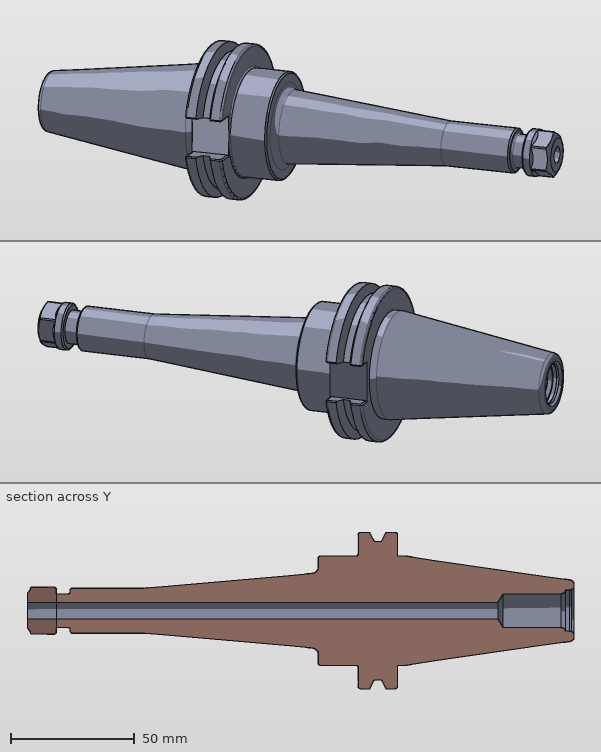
import cadquery as cq
import math

total_length = 220.7
bore_diameter = 6.6

taper_end_x = 68.2
taper_small_diameter = 24.5
gauge_diameter = 44.4
small_end_fillet = 2.0

socket_mouth_diameter = 18.5
socket_relief_diameter = 16.8
socket_relief_start = 1.0
socket_relief_end = 2.0
socket_recess_diameter = 16.3
socket_recess_end = 3.5
thread_mouth_diameter = 14.8
thread_start = 5.3
socket_diameter = 13.5
socket_depth = 28.7
drill_point_angle = 118.0

flange_start_x = 71.3
flange_end_x = 87.2
flange_diameter = 63.3
flange_fillet = 0.9
groove_centre_x = 79.2
groove_mouth_width = 6.5
groove_root_diameter = 56.3
groove_root_width = 2.9

slot_width = 15.9
slot_edge_chamfer = 0.55
front_slot_floor = 22.5
rear_slot_floor = 25.0

body_end_x = 103.3
body_chamfer = 0.7
flange_root_fillet = 0.7
extension_root_fillet = 2.6
extension_start_diameter = 30.2
shank_start_x = 173.9
shank_diameter = 18.3
shank_end_x = 203.5
shank_chamfer = 0.7
neck_diameter = 13.7
neck_root_fillet = 0.7

nut_start_x = 209.0
collar_diameter = 19.2
collar_chamfer = 0.7
collar_end_x = 212.5
hex_across_flats = 16.8
hex_start_x = 213.5
hex_corner_diameter = 19.0
hex_cone_length = 1.5
nut_face_diameter = 14.0


def revolve_about_x(profile):
    return profile.close().revolve(360, (0, 0, 0), (1, 0, 0))


def x_cylinder(diameter, start_x, end_x):
    circle = cq.Workplane("YZ").workplane(offset=start_x).circle(diameter / 2)
    return circle.extrude(end_x - start_x)


def make_holder_blank():
    """Outer shape of the taper, flange, body, extension and neck."""
    flange_radius = flange_diameter / 2
    gauge_radius = gauge_diameter / 2
    extension_radius = extension_start_diameter / 2
    shank_radius = shank_diameter / 2
    neck_radius = neck_diameter / 2
    profile = (
        cq.Workplane("XY")
        .moveTo(0, 0)
        .lineTo(0, taper_small_diameter / 2)
        .lineTo(taper_end_x, gauge_radius)
        .lineTo(flange_start_x, gauge_radius)
        .lineTo(flange_start_x, flange_radius - flange_fillet)
        .radiusArc((flange_start_x + flange_fillet, flange_radius), flange_fillet)
        .lineTo(flange_end_x - flange_fillet, flange_radius)
        .radiusArc((flange_end_x, flange_radius - flange_fillet), flange_fillet)
        .lineTo(flange_end_x, gauge_radius + flange_root_fillet)
        .radiusArc((flange_end_x + flange_root_fillet, gauge_radius), -flange_root_fillet)
        .lineTo(body_end_x - body_chamfer, gauge_radius)
        .lineTo(body_end_x, gauge_radius - body_chamfer)
        .lineTo(body_end_x, extension_radius + extension_root_fillet)
        .radiusArc((body_end_x + extension_root_fillet, extension_radius), -extension_root_fillet)
        .lineTo(shank_start_x, shank_radius)
        .lineTo(shank_end_x - shank_chamfer, shank_radius)
        .lineTo(shank_end_x, shank_radius - shank_chamfer)
        .lineTo(shank_end_x, neck_radius + neck_root_fillet)
        .radiusArc((shank_end_x + neck_root_fillet, neck_radius), -neck_root_fillet)
        .lineTo(nut_start_x, neck_radius)
        .lineTo(nut_start_x, 0)
    )
    return revolve_about_x(profile).faces("<X").edges().fillet(small_end_fillet)


def make_groove_cutter():
    """Ring that cuts the V groove, flat at its root."""
    mouth_radius = flange_diameter / 2
    root_radius = groove_root_diameter / 2
    half_mouth = groove_mouth_width / 2
    half_root = groove_root_width / 2
    profile = (
        cq.Workplane("XY")
        .moveTo(groove_centre_x - half_mouth, mouth_radius)
        .lineTo(groove_centre_x - half_root, root_radius)
        .lineTo(groove_centre_x + half_root, root_radius)
        .lineTo(groove_centre_x + half_mouth, mouth_radius)
    )
    return revolve_about_x(profile)


def cut_drive_slot(body, floor, side):
    """Cut the +Y (side = 1) or -Y (side = -1) drive slot and chamfer the outer edges of its walls."""
    rim = side * flange_diameter / 2
    floor_y = side * floor
    slot_end_x = flange_end_x + flange_root_fillet
    outline = cq.Workplane("XY").moveTo(flange_start_x, floor_y).lineTo(slot_end_x, floor_y)
    outline = outline.lineTo(slot_end_x, rim).lineTo(flange_start_x, rim).close()
    slotted = body.cut(outline.extrude(slot_width / 2, both=True))
    slot_region = cq.selectors.BoxSelector(
        (flange_start_x, floor_y, -slot_width),
        (flange_end_x, rim, slot_width),
    )
    flange_wall_edges = cq.selectors.BoxSelector(
        (flange_start_x - slot_edge_chamfer, side * (floor + slot_edge_chamfer), -slot_width),
        (flange_end_x + slot_edge_chamfer, rim, slot_width),
    )
    walls = slotted.faces(slot_region).faces("|Z")
    return walls.edges().edges(flange_wall_edges).chamfer(slot_edge_chamfer)


def make_socket_cutter():
    """Stepped drawbar socket that narrows to the through bore with a drill point."""
    bore_radius = bore_diameter / 2
    socket_radius = socket_diameter / 2
    relief_radius = socket_relief_diameter / 2
    recess_radius = socket_recess_diameter / 2
    point_length = (socket_radius - bore_radius) / math.tan(math.radians(drill_point_angle / 2))
    profile = (
        cq.Workplane("XY")
        .moveTo(0, 0)
        .lineTo(0, socket_mouth_diameter / 2)
        .lineTo(socket_relief_start, relief_radius)
        .lineTo(socket_relief_end, relief_radius)
        .lineTo(socket_relief_end, recess_radius)
        .lineTo(socket_recess_end, recess_radius)
        .lineTo(socket_recess_end, thread_mouth_diameter / 2)
        .lineTo(thread_start, socket_radius)
        .lineTo(socket_depth, socket_radius)
        .lineTo(socket_depth + point_length, bore_radius)
        .lineTo(socket_depth + point_length, 0)
    )
    return revolve_about_x(profile)


def make_holder():
    holder = cut_drive_slot(make_holder_blank(), front_slot_floor, -1)
    holder = cut_drive_slot(holder, rear_slot_floor, 1)
    holder = holder.cut(make_groove_cutter()).cut(make_socket_cutter())
    return holder.cut(x_cylinder(bore_diameter, 0, nut_start_x))


def make_nut():
    """Clamping nut with a round collar and a hexagon, butted against the neck."""
    collar_radius = collar_diameter / 2
    corner_radius = hex_corner_diameter / 2
    collar_profile = (
        cq.Workplane("XY")
        .moveTo(nut_start_x, 0)
        .lineTo(nut_start_x, collar_radius - collar_chamfer)
        .lineTo(nut_start_x + collar_chamfer, collar_radius)
        .lineTo(collar_end_x, collar_radius)
        .lineTo(hex_start_x, hex_across_flats / 2)
        .lineTo(hex_start_x, 0)
    )
    hex_envelope_profile = (
        cq.Workplane("XY")
        .moveTo(collar_end_x, 0)
        .lineTo(collar_end_x, corner_radius)
        .lineTo(total_length - hex_cone_length, corner_radius)
        .lineTo(total_length, nut_face_diameter / 2)
        .lineTo(total_length, 0)
    )
    hexagon = (
        cq.Workplane("YZ")
        .workplane(offset=collar_end_x)
        .polygon(6, hex_across_flats, circumscribed=True)
        .extrude(total_length - collar_end_x)
    )
    hexagon = hexagon.intersect(revolve_about_x(hex_envelope_profile))
    nut = revolve_about_x(collar_profile).union(hexagon)
    return nut.cut(x_cylinder(bore_diameter, nut_start_x, total_length))


holder = make_holder()
nut = make_nut()

result = cq.Compound.makeCompound([holder.val(), nut.val()])